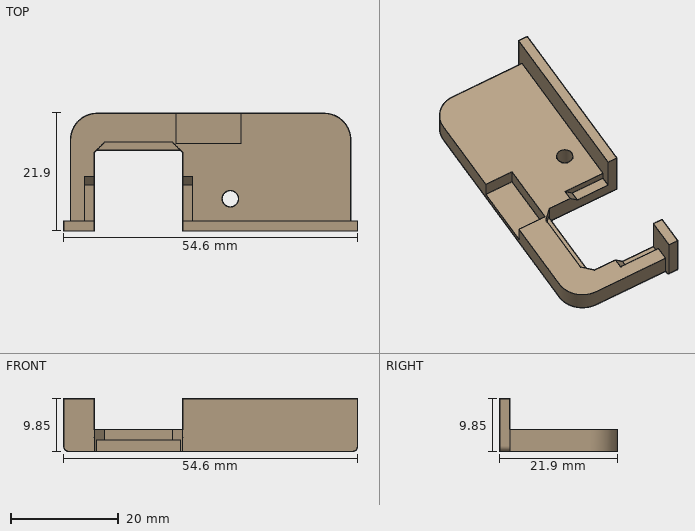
import cadquery as cq

flange_length = 54.6
flange_thickness = 1.9
flange_height = 9.85
flange_corner_radius = 1.0

plate_depth = 20.0
plate_thickness = 4.15
plate_inset = 1.25
plate_corner_radius = 5.0
plate_length = flange_length - 2 * plate_inset
plate_back = flange_thickness + plate_depth

notch_left = 5.7
notch_width = 16.4
notch_depth = 16.5
notch_chamfer = 1.9
notch_right = notch_left + notch_width

ledge_height = 2.2
ledge_width = 1.5

groove_width = 1.85
groove_depth = 1.55
groove_end = 10.1
groove_ramp = 1.55

pocket_left = 20.9
pocket_length = 12.0
pocket_depth = 5.65
pocket_floor = 1.0

hole_diameter = 3.0
hole_x = 30.95
hole_y = 6.0


def box_at(x, y, z, length, depth, height):
    """Box with its lowest corner at (x, y, z)."""
    return cq.Workplane("XY").box(length, depth, height, centered=False).translate((x, y, z))


def make_flange():
    flange = box_at(0, 0, 0, flange_length, flange_thickness, flange_height)
    return flange.edges("|Y and <Z").fillet(flange_corner_radius)


def make_plate():
    plate = box_at(plate_inset, flange_thickness, 0, plate_length, plate_depth, plate_thickness)
    return plate.edges("|Z and >Y").fillet(plate_corner_radius)


def make_notch():
    """Notch volume, without the ledge that remains at its inner end."""
    notch = box_at(notch_left, 0, 0, notch_width, notch_depth, flange_height)
    notch = notch.edges("|Z and >Y").chamfer(notch_chamfer)
    ledge = box_at(notch_left, notch_depth - ledge_width, 0, notch_width, ledge_width, ledge_height)
    return notch.cut(ledge)


def make_groove(left):
    """Groove running back from the flange, its floor ramping up to the plate top."""
    floor = plate_thickness - groove_depth
    profile = [
        (flange_thickness, floor),
        (groove_end - groove_ramp, floor),
        (groove_end, plate_thickness),
        (flange_thickness, plate_thickness),
    ]
    return cq.Workplane("YZ", origin=(left, 0, 0)).polyline(profile).close().extrude(groove_width)


def make_pocket():
    return box_at(
        pocket_left,
        plate_back - pocket_depth,
        pocket_floor,
        pocket_length,
        pocket_depth,
        plate_thickness - pocket_floor,
    )


def make_hole():
    return cq.Workplane("XY").center(hole_x, hole_y).circle(hole_diameter / 2).extrude(plate_thickness)


result = make_flange().union(make_plate()).cut(make_notch())
for groove_left in (notch_left - groove_width, notch_right):
    result = result.cut(make_groove(groove_left))
result = result.cut(make_pocket()).cut(make_hole())